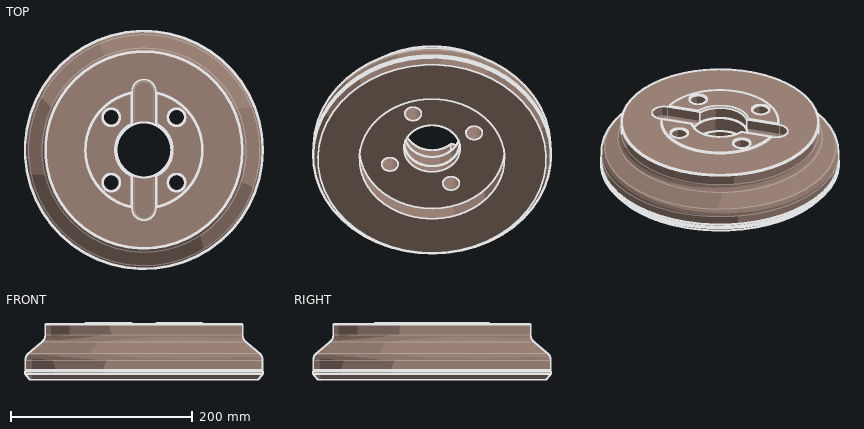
import cadquery as cq
import math

TOTAL_HEIGHT = 63.0
PAD_HEIGHT = 1.0
TOP_FACE_Z = TOTAL_HEIGHT - PAD_HEIGHT
RECESS_CEILING_Z = 20.0

NECK_RADIUS = 218.0 / 2
NECK_CHAMFER = 1.0
HUB_RADIUS = 262.0 / 2
HUB_BOTTOM_RADIUS = 251.5 / 2
FLANK_ANGLE = math.radians(40)
FLANK_TOP_Z = 45.0
FLANK_FILLET = 10.0

BORE_RADIUS = 60.01 / 2
BORE_CHAMFER = 2.0
CLEARANCE_RADIUS = 60.2 / 2
CLEARANCE_CHAMFER = 0.5
RELIEF_RADIUS = 62.0 / 2
RELIEF_TOP_Z = 30.5
RECESS_RADIUS = 160.0 / 2

PAD_RADIUS = 130.0 / 2
SLOT_WIDTH = 26.0
SLOT_LENGTH = 155.0
SLOT_FLOOR_Z = 48.0
SLOT_FLOOR_FILLET = 2.0
BOLT_HOLE_RADIUS = 18.0 / 2
BOLT_HOLE_CHAMFER = 1.0
BOLT_SPACING = 72.0

GROOVE_BOTTOM_Z = 6.3
GROOVE_TOP_Z = 10.8
GROOVE_LIP_CHAMFER = 0.5
GROOVE_DEPTH = 4.5
GROOVE_FLOOR_RADIUS = HUB_RADIUS - GROOVE_DEPTH
RING_RADIUS = 263.0 / 2
RING_BOTTOM_CHAMFER = 0.8
RING_TOP_CHAMFER = 1.8

SLOT_RADIUS = SLOT_WIDTH / 2


def hub_blank():
    """Turned hub: neck, conical flank, grooved rim, recess and stepped bore."""
    fillet_height = FLANK_FILLET * math.sin(math.pi / 2 - FLANK_ANGLE)
    fillet_width = FLANK_FILLET * (1 - math.cos(math.pi / 2 - FLANK_ANGLE))
    half_turn = (math.pi / 2 - FLANK_ANGLE) / 2
    mid_height = FLANK_FILLET * math.sin(half_turn)
    mid_width = FLANK_FILLET * (1 - math.cos(half_turn))
    tangent_length = FLANK_FILLET * math.tan(half_turn)

    flank_bottom_z = FLANK_TOP_Z - (HUB_RADIUS - NECK_RADIUS) * math.tan(FLANK_ANGLE)
    neck_end_z = FLANK_TOP_Z + tangent_length
    rim_top_z = flank_bottom_z - tangent_length

    return (
        cq.Workplane("XZ")
        .moveTo(RECESS_RADIUS, 0)
        .lineTo(HUB_BOTTOM_RADIUS, 0)
        .lineTo(HUB_RADIUS, GROOVE_BOTTOM_Z)
        .lineTo(GROOVE_FLOOR_RADIUS, GROOVE_BOTTOM_Z)
        .lineTo(GROOVE_FLOOR_RADIUS, GROOVE_TOP_Z)
        .lineTo(HUB_RADIUS - GROOVE_LIP_CHAMFER, GROOVE_TOP_Z)
        .lineTo(HUB_RADIUS, GROOVE_TOP_Z + GROOVE_LIP_CHAMFER)
        .lineTo(HUB_RADIUS, rim_top_z)
        .threePointArc(
            (HUB_RADIUS - mid_width, rim_top_z + mid_height),
            (HUB_RADIUS - fillet_width, rim_top_z + fillet_height),
        )
        .lineTo(NECK_RADIUS + fillet_width, neck_end_z - fillet_height)
        .threePointArc(
            (NECK_RADIUS + mid_width, neck_end_z - mid_height),
            (NECK_RADIUS, neck_end_z),
        )
        .lineTo(NECK_RADIUS, TOP_FACE_Z - NECK_CHAMFER)
        .lineTo(NECK_RADIUS - NECK_CHAMFER, TOP_FACE_Z)
        .lineTo(PAD_RADIUS, TOP_FACE_Z)
        .lineTo(PAD_RADIUS - PAD_HEIGHT, TOTAL_HEIGHT)
        .lineTo(BORE_RADIUS + BORE_CHAMFER, TOTAL_HEIGHT)
        .lineTo(BORE_RADIUS, TOTAL_HEIGHT - BORE_CHAMFER)
        .lineTo(BORE_RADIUS, SLOT_FLOOR_Z)
        .lineTo(CLEARANCE_RADIUS + CLEARANCE_CHAMFER, SLOT_FLOOR_Z)
        .lineTo(CLEARANCE_RADIUS, SLOT_FLOOR_Z - CLEARANCE_CHAMFER)
        .lineTo(CLEARANCE_RADIUS, RELIEF_TOP_Z)
        .lineTo(RELIEF_RADIUS, RELIEF_TOP_Z)
        .lineTo(RELIEF_RADIUS, RECESS_CEILING_Z)
        .lineTo(RECESS_RADIUS, RECESS_CEILING_Z)
        .close()
        .revolve(360, (0, 0, 0), (0, 1, 0))
    )


def cross_slot():
    """Round-ended slot along Y with a filleted floor, widened 45 degrees through the pad."""
    slot = (
        cq.Workplane("XY", origin=(0, 0, SLOT_FLOOR_Z))
        .slot2D(SLOT_LENGTH, SLOT_WIDTH, 90)
        .extrude(TOTAL_HEIGHT - SLOT_FLOOR_Z)
        .faces("<Z")
        .edges()
        .fillet(SLOT_FLOOR_FILLET)
    )
    pad_chamfer = (
        cq.Workplane("XZ")
        .moveTo(-SLOT_RADIUS, TOP_FACE_Z)
        .lineTo(SLOT_RADIUS, TOP_FACE_Z)
        .lineTo(SLOT_RADIUS + PAD_HEIGHT, TOTAL_HEIGHT)
        .lineTo(-SLOT_RADIUS - PAD_HEIGHT, TOTAL_HEIGHT)
        .close()
        .extrude(PAD_RADIUS, both=True)
    )
    return slot.union(pad_chamfer)


def bolt_hole(x, y):
    """Through hole with a chamfered mouth on the pad."""
    profile = (
        cq.Workplane("XZ")
        .moveTo(0, RECESS_CEILING_Z)
        .lineTo(BOLT_HOLE_RADIUS, RECESS_CEILING_Z)
        .lineTo(BOLT_HOLE_RADIUS, TOTAL_HEIGHT - BOLT_HOLE_CHAMFER)
        .lineTo(BOLT_HOLE_RADIUS + BOLT_HOLE_CHAMFER, TOTAL_HEIGHT)
        .lineTo(0, TOTAL_HEIGHT)
        .close()
    )
    return profile.revolve(360, (0, 0, 0), (0, 1, 0)).translate((x, y, 0))


def make_hub():
    hub = hub_blank().cut(cross_slot())
    for side_x in (-1, 1):
        for side_y in (-1, 1):
            hub = hub.cut(bolt_hole(side_x * BOLT_SPACING / 2, side_y * BOLT_SPACING / 2))
    return hub


def make_rim_ring():
    """Chamfered ring that fills the groove of the hub rim."""
    return (
        cq.Workplane("XZ")
        .moveTo(GROOVE_FLOOR_RADIUS, GROOVE_BOTTOM_Z)
        .lineTo(RING_RADIUS - RING_BOTTOM_CHAMFER, GROOVE_BOTTOM_Z)
        .lineTo(RING_RADIUS, GROOVE_BOTTOM_Z + RING_BOTTOM_CHAMFER)
        .lineTo(RING_RADIUS, GROOVE_TOP_Z - RING_TOP_CHAMFER)
        .lineTo(RING_RADIUS - RING_TOP_CHAMFER, GROOVE_TOP_Z)
        .lineTo(GROOVE_FLOOR_RADIUS, GROOVE_TOP_Z)
        .close()
        .revolve(360, (0, 0, 0), (0, 1, 0))
    )


hub = make_hub()
rim_ring = make_rim_ring()

result = cq.Compound.makeCompound([hub.val(), rim_ring.val()])